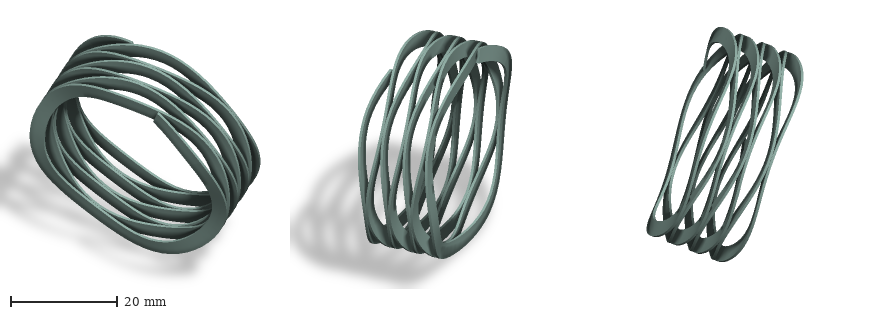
import cadquery as cq
import math

outer_radius = 20.75
radial_width = 3.05
inner_radius = outer_radius - radial_width
overall_length = 17.3
strip_thickness = 0.5
crest_clearance = 0.01
coil_count = 7
waves_per_turn = 3.5
points_per_wave = 12
tail_drop = 0.8
tail_gap_angle = 17.0

half_wave = math.pi / waves_per_turn
last_crest = coil_count * math.pi - half_wave
strip_end = coil_count * math.pi - math.radians(tail_gap_angle)

pitch = overall_length / (last_crest / math.pi + 1)
wave_amplitude = (pitch - strip_thickness - crest_clearance) / 2


def strip_height(angle):
    """Y of the middle of the strip: a helix with a sine wave, bent inward along the tails."""
    helix = pitch * angle / (2 * math.pi)
    wave = -wave_amplitude * math.sin(waves_per_turn * angle)
    tail_fraction = max(0, abs(angle) - last_crest) / (strip_end - last_crest)
    bend = math.copysign(tail_drop * tail_fraction**2, angle)
    return helix + wave - bend


def edge_curve(radius, offset, start, end):
    """One corner edge of the rectangular strip, between two angles."""
    steps = math.ceil((end - start) / (2 * half_wave) * points_per_wave)
    points = []
    for step in range(steps + 1):
        angle = start + (end - start) * step / steps
        points.append(
            cq.Vector(
                -radius * math.sin(angle),
                strip_height(angle) + offset,
                -radius * math.cos(angle),
            )
        )
    return cq.Edge.makeSpline(points)


def strip_section(start, end):
    """Corner edges of a strip section, in order around its cross-section."""
    half = strip_thickness / 2
    corners = [
        (inner_radius, -half),
        (outer_radius, -half),
        (outer_radius, half),
        (inner_radius, half),
    ]
    return [edge_curve(radius, offset, start, end) for radius, offset in corners]


def end_cap(corner_points):
    return cq.Face.makeFromWires(cq.Wire.makePolygon(corner_points, close=True))


inner_joints = [half_turns * math.pi for half_turns in (-3, -1, 1, 3)]
breaks = [-strip_end, -last_crest, *inner_joints, last_crest, strip_end]
sections = [strip_section(start, end) for start, end in zip(breaks, breaks[1:])]

faces = []
for edges in sections:
    for edge, next_edge in zip(edges, edges[1:] + edges[:1]):
        faces.append(cq.Face.makeRuledSurface(edge, next_edge))
faces.append(end_cap([edge.startPoint() for edge in sections[0]]))
faces.append(end_cap([edge.endPoint() for edge in sections[-1]]))

spring = cq.Solid.makeSolid(cq.Shell.makeShell(faces))
result = cq.Workplane("XY").newObject([spring])